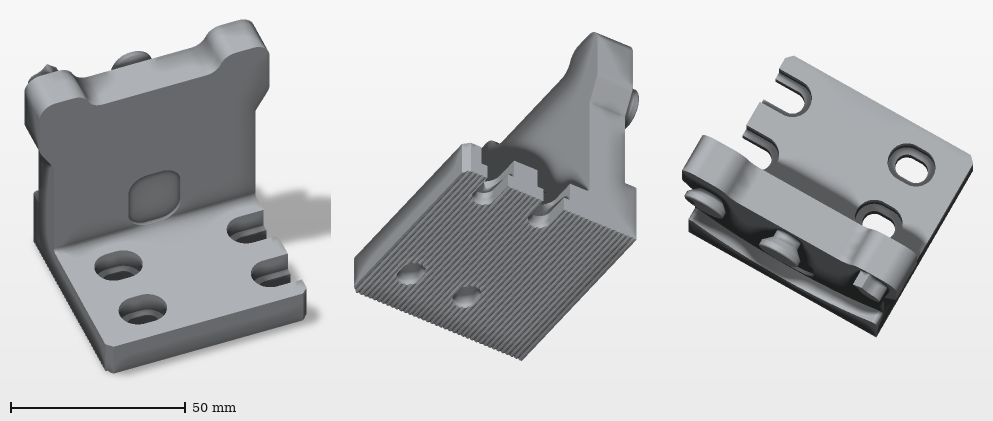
import cadquery as cq
import math

HEIGHT = 71.35

WALL_THICKNESS = 12.0
WALL_WIDTH = 62.2
EAR_SPAN = 71.0
EAR_RADIUS = 5.0
EAR_TOP_START = 10.4
EAR_RISE = 5.85
EAR_TAPER = math.radians(30)
EAR_SIDE_HEIGHT = 18.55

BASE_LENGTH = 54.1
BASE_THICKNESS = 11.0
BASE_CORNER_CHAMFER = 1.85
INNER_FILLET = 1.0

FOOT_DEPTH = 3.9
FOOT_ARC_BOTTOM = 10.0
FOOT_ARC_RADIUS = 47.45
FOOT_TIP_RADIUS = 1.0

TOOTH_PITCH = 1.5
TOOTH_DEPTH = 0.5

SLOT_X = 24.1
SLOT_SPACING = 19.0
SLOT_WIDTH = 6.85
SLOT_COUNTERBORE_WIDTH = 11.1
SLOT_COUNTERBORE_DEPTH = 6.3
SLOT_CENTRE_DISTANCE = 3.0
CLOSED_SLOT_Y = -15.9
OPEN_SLOT_Y = 23.5

RECESS_WIDTH = 16.2
RECESS_HEIGHT = 20.0
RECESS_BOTTOM = 11.4
RECESS_CORNER_RADIUS = 6.0
RECESS_DEPTH = 1.0

BUTTON_DIAMETER = 12.8
BUTTON_STEM_DIAMETER = 7.9
BUTTON_RIM = 1.85
BUTTON_EDGE_CHAMFER = 0.3
MIDDLE_BUTTON_Z = 57.45
MIDDLE_BUTTON_PROJECTION = 6.5
SIDE_BUTTON_Y = 26.05
SIDE_BUTTON_Z = 53.3
SIDE_BUTTON_PROJECTION = 4.15

STOP_Y = -29.25
STOP_Z = 64.3
STOP_PROJECTION = 4.65
STOP_RADIUS = 3.35
STOP_NECK_WIDTH = 3.85
STOP_NECK_REACH = 6.3
STOP_NECK_FILLET = 4.0
STOP_TILT = 40.0


def front_plane(x):
    """Sketch plane parallel to the wall: local x is -Y, local y is Z, and it extrudes towards -X."""
    return cq.Workplane(cq.Plane(origin=(x, 0, 0), xDir=(0, -1, 0), normal=(-1, 0, 0)))


def wall():
    half_wall = WALL_WIDTH / 2
    half_span = EAR_SPAN / 2
    taper_height = (half_span - half_wall) / math.tan(EAR_TAPER)
    side_corner = HEIGHT - EAR_SIDE_HEIGHT
    trim = EAR_RADIUS * math.tan(EAR_TAPER / 2)
    side_end = side_corner + trim
    turn = math.acos(1 - EAR_RISE / (2 * EAR_RADIUS))
    curve_start = half_span - EAR_TOP_START
    half_turn_width = EAR_RADIUS * math.sin(turn / 2)
    half_turn_drop = EAR_RADIUS * (1 - math.cos(turn / 2))
    curve_middle = curve_start - EAR_RADIUS * math.sin(turn)
    curve_end = curve_start - 2 * EAR_RADIUS * math.sin(turn)
    middle_top = HEIGHT - EAR_RISE

    half = (
        front_plane(WALL_THICKNESS)
        .moveTo(0, TOOTH_DEPTH)
        .lineTo(half_wall, TOOTH_DEPTH)
        .lineTo(half_wall, side_corner - taper_height)
        .lineTo(half_span - trim * math.sin(EAR_TAPER), side_corner - trim * math.cos(EAR_TAPER))
        .tangentArcPoint((half_span, side_end), relative=False)
        .lineTo(half_span, HEIGHT - EAR_RADIUS)
        .tangentArcPoint((half_span - EAR_RADIUS, HEIGHT), relative=False)
        .lineTo(curve_start, HEIGHT)
        .threePointArc(
            (curve_start - half_turn_width, HEIGHT - half_turn_drop),
            (curve_middle, HEIGHT - EAR_RISE / 2),
        )
        .threePointArc((curve_end + half_turn_width, middle_top + half_turn_drop), (curve_end, middle_top))
        .lineTo(0, middle_top)
        .close()
        .extrude(WALL_THICKNESS)
    )
    return half.union(half.mirror("XZ")).clean()


def base():
    plate = cq.Workplane("XY").box(BASE_LENGTH, WALL_WIDTH, BASE_THICKNESS, centered=(False, True, False))
    return plate.edges("|Z and >X").chamfer(BASE_CORNER_CHAMFER)


def foot():
    arc_centre = FOOT_ARC_BOTTOM + FOOT_ARC_RADIUS
    block = front_plane(0).center(0, arc_centre / 2).rect(WALL_WIDTH, arc_centre).extrude(FOOT_DEPTH)
    block = block.cut(front_plane(0).center(0, arc_centre).circle(FOOT_ARC_RADIUS).extrude(FOOT_DEPTH))
    return block.edges("|X").edges(">Z").fillet(FOOT_TIP_RADIUS)


def serrations():
    length = BASE_LENGTH + FOOT_DEPTH
    count = math.floor(length / TOOTH_PITCH)
    groove_width = 2 * TOOTH_DEPTH
    first = (length - (count - 1) * TOOTH_PITCH - groove_width) / 2
    grooves = cq.Workplane("XZ", origin=(-FOOT_DEPTH, 0, 0))
    for i in range(count):
        left = first + i * TOOTH_PITCH
        grooves = (
            grooves.moveTo(left, 0)
            .lineTo(left + TOOTH_DEPTH, TOOTH_DEPTH)
            .lineTo(left + groove_width, 0)
            .close()
        )
    return grooves.extrude(EAR_SPAN / 2, both=True)


def slot(x, y, centre_distance, width, bottom):
    """Slot along Y, cut down to the given height."""
    return (
        cq.Workplane("XY", origin=(x, y, bottom))
        .slot2D(centre_distance + width, width, 90)
        .extrude(BASE_THICKNESS)
    )


def stepped_slot(x, y, centre_distance):
    ledge = BASE_THICKNESS - SLOT_COUNTERBORE_DEPTH
    through = slot(x, y, centre_distance, SLOT_WIDTH, 0)
    return through.union(slot(x, y, centre_distance, SLOT_COUNTERBORE_WIDTH, ledge))


def recess(start_x, depth):
    """Rounded rectangle that reaches from the given X towards -X."""
    return (
        front_plane(start_x)
        .center(0, RECESS_BOTTOM + RECESS_HEIGHT / 2)
        .rect(RECESS_WIDTH, RECESS_HEIGHT)
        .extrude(depth)
        .edges("|X")
        .fillet(RECESS_CORNER_RADIUS)
    )


def button(y, z, projection):
    """Round head with a 45 degree underside on a stem that sinks into the wall."""
    rim = BUTTON_DIAMETER / 2
    stem = BUTTON_STEM_DIAMETER / 2
    face = -projection
    root = WALL_THICKNESS / 2
    cone_start = face + BUTTON_RIM
    profile = (
        cq.Workplane("XY")
        .moveTo(face, 0)
        .lineTo(face, rim - BUTTON_EDGE_CHAMFER)
        .lineTo(face + BUTTON_EDGE_CHAMFER, rim)
        .lineTo(cone_start, rim)
        .lineTo(cone_start + rim - stem, stem)
        .lineTo(root, stem)
        .lineTo(root, 0)
        .close()
    )
    return profile.revolve(360, (0, 0, 0), (1, 0, 0)).translate((0, y, z))


def stop():
    half_neck = STOP_NECK_WIDTH / 2
    fillet_x = half_neck + STOP_NECK_FILLET
    fillet_reach = STOP_RADIUS + STOP_NECK_FILLET
    fillet_y = math.sqrt(fillet_reach**2 - fillet_x**2)
    touch = STOP_RADIUS / fillet_reach
    touch_x = fillet_x * touch
    touch_y = fillet_y * touch
    outline = (
        front_plane(0)
        .moveTo(-half_neck, STOP_NECK_REACH)
        .lineTo(half_neck, STOP_NECK_REACH)
        .lineTo(half_neck, fillet_y)
        .tangentArcPoint((touch_x, touch_y), relative=False)
        .threePointArc((0, -STOP_RADIUS), (-touch_x, touch_y))
        .tangentArcPoint((-half_neck, fillet_y), relative=False)
        .close()
    )
    upright = outline.extrude(STOP_PROJECTION)
    return upright.rotate((0, 0, 0), (-1, 0, 0), STOP_TILT).translate((0, STOP_Y, STOP_Z))


body = wall().union(base()).union(foot())
inner_corner = cq.selectors.NearestToPointSelector((WALL_THICKNESS, 0, BASE_THICKNESS))
body = body.edges(inner_corner).fillet(INNER_FILLET)

body = body.cut(serrations())
run_out = WALL_WIDTH / 2
for slot_x in (SLOT_X, SLOT_X + SLOT_SPACING):
    body = body.cut(stepped_slot(slot_x, CLOSED_SLOT_Y, SLOT_CENTRE_DISTANCE))
    body = body.cut(stepped_slot(slot_x, OPEN_SLOT_Y + run_out / 2, run_out))

body = body.cut(recess(RECESS_DEPTH, RECESS_DEPTH))
back_cut_depth = RECESS_DEPTH + INNER_FILLET
body = body.cut(recess(WALL_THICKNESS + INNER_FILLET, back_cut_depth))

body = body.union(button(0, MIDDLE_BUTTON_Z, MIDDLE_BUTTON_PROJECTION))
body = body.union(button(SIDE_BUTTON_Y, SIDE_BUTTON_Z, SIDE_BUTTON_PROJECTION))
result = body.union(stop())